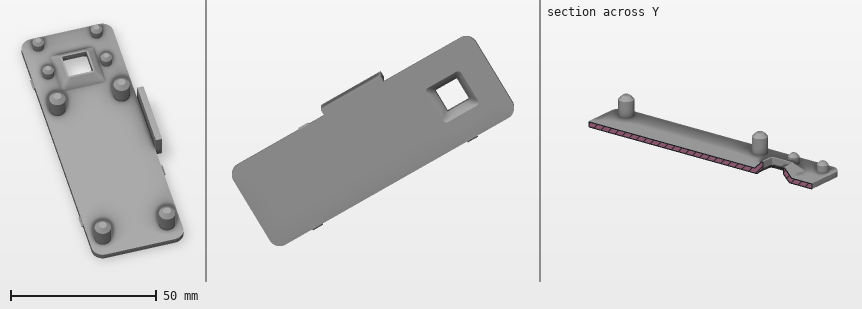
import cadquery as cq

plate_length = 96.9
plate_width = 32.7
plate_thickness = 2.0
corner_radius = 4.0

wall_start = 34.5
wall_length = 23.7
wall_thickness = 2.2
wall_height = 7.9

large_pin_diameter = 5.6
large_pin_tip_diameter = 2.7
large_pin_shoulder = 8.1
large_pin_top = 9.6
large_pin_columns = (31.9, 89.8)
large_pin_rows = (4.8, 27.8)

small_pin_diameter = 4.0
small_pin_tip_diameter = 2.0
small_pin_shoulder = 4.7
small_pin_top = 5.8
small_pin_columns = (4.0, 16.6)
small_pin_rows = (5.8, 26.6)

window_x = 16.9
window_y = 16.3
window_size = 8.7
collar_base = 16.0
collar_height = 3.0
collar_slope = 45.0
collar_edge_radius = 1.9
flare_height = 2.6
flare_edge_radius = 1.9

ridge_length = 4.1
ridge_depth = 0.7
ridge_bottom = 0.6
ridge_top = 1.55
front_ridge_starts = (16.5, 78.3)
rear_ridge_start = 64.3


def pin(x, y, diameter, tip_diameter, shoulder, top):
    """Cylinder rising from the plate underside, ending in a flat-topped cone."""
    profile = [(0, 0), (diameter / 2, 0), (diameter / 2, shoulder), (tip_diameter / 2, top), (0, top)]
    turned = cq.Workplane("XZ").polyline(profile).close().revolve(360, (0, 0), (0, 1))
    return turned.translate((x, y, 0))


def snap_ridge(x_start, edge_y, outward):
    """Triangular ridge on a long edge; outward is -1 at the front and 1 at the rear."""
    tip_z = (ridge_bottom + ridge_top) / 2
    section = [(edge_y, ridge_bottom), (edge_y + outward * ridge_depth, tip_z), (edge_y, ridge_top)]
    ridge = cq.Workplane("YZ").polyline(section).close().extrude(ridge_length)
    return ridge.translate((x_start, 0, 0))


plate = (
    cq.Workplane("XY")
    .rect(plate_length, plate_width)
    .extrude(plate_thickness)
    .edges("|Z")
    .fillet(corner_radius)
    .translate((plate_length / 2, plate_width / 2, 0))
)

wall = cq.Workplane("XY").box(wall_length, wall_thickness, wall_height, centered=False)
wall = wall.translate((wall_start, plate_width, 0))

collar = (
    cq.Workplane("XY")
    .rect(collar_base, collar_base)
    .extrude(collar_height, taper=collar_slope)
    .edges("not(|X or |Y)")
    .fillet(collar_edge_radius)
    .translate((window_x, window_y, plate_thickness))
)

window = (
    cq.Workplane("XY")
    .rect(window_size, window_size)
    .extrude(plate_thickness + collar_height)
    .translate((window_x, window_y, 0))
)

flare = (
    cq.Workplane("XY")
    .rect(window_size + 2 * flare_height, window_size + 2 * flare_height)
    .extrude(flare_height, taper=collar_slope)
    .edges("not(|X or |Y)")
    .fillet(flare_edge_radius)
    .translate((window_x, window_y, 0))
)

result = plate.union(wall).union(collar).cut(window).cut(flare)

for x in large_pin_columns:
    for y in large_pin_rows:
        result = result.union(
            pin(x, y, large_pin_diameter, large_pin_tip_diameter, large_pin_shoulder, large_pin_top)
        )

for x in small_pin_columns:
    for y in small_pin_rows:
        result = result.union(
            pin(x, y, small_pin_diameter, small_pin_tip_diameter, small_pin_shoulder, small_pin_top)
        )

for x_start in front_ridge_starts:
    result = result.union(snap_ridge(x_start, 0, -1))
result = result.union(snap_ridge(rear_ridge_start, plate_width, 1))